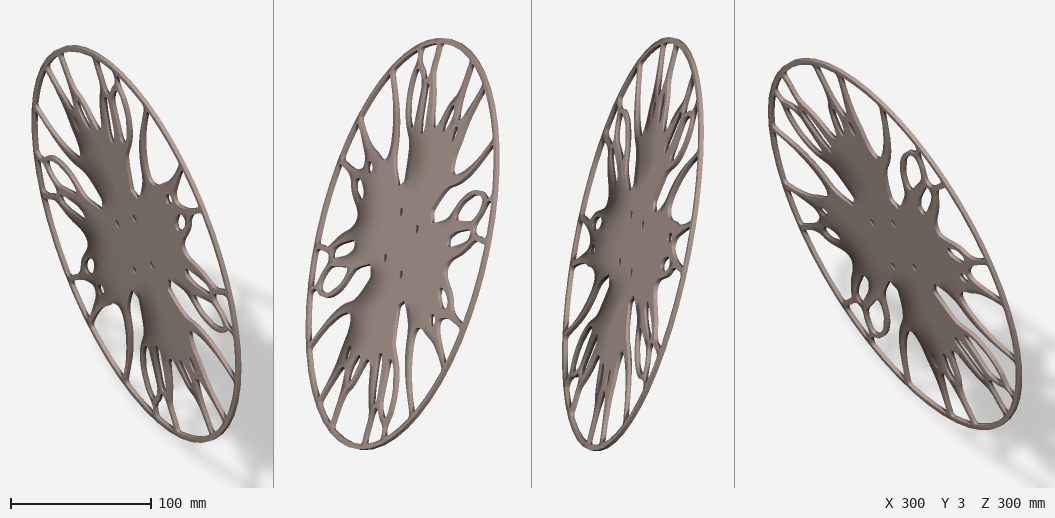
import math

import cadquery as cq


wheel_diameter = 300.0
thickness = 3.0
rim_width = 4.0
hub_diameter = 95.0
quarters = 4

bolt_hole_diameter = 6.2
bolt_circle_radius = 25.0

corner_radius = 3.0

rim_inner_radius = wheel_diameter / 2 - rim_width
hub_radius = hub_diameter / 2
quarter_angle = 360.0 / quarters

rim_openings = [
    (
        83.1,
        [(12.1, 115.1), (12.0, 111.2), (13.4, 94.2), (22.3, 79.1),
         (33.2, 84.1), (40.5, 92.6), (45.4, 97.5), (55.2, 110.8), (60.8, 121.4)],
        63.7,
    ),
    (
        62.0,
        [(66.9, 125.7), (57.7, 100.9), (56.5, 93.0), (58.8, 88.9),
         (64.1, 89.3), (82.5, 101.1), (91.9, 109.8)],
        50.0,
    ),
    (
        48.5,
        [(88.9, 101.9), (80.5, 91.7), (78.2, 84.9), (78.1, 82.1), (69.6, 60.7),
         (68.2, 55.4), (68.5, 53.0), (70.8, 50.2), (73.8, 49.0), (88.9, 50.2), (105.6, 50.6),
         (116.6, 51.2), (118.7, 52.4)],
        24.6,
    ),
    (
        22.9,
        [(126.1, 53.2), (122.6, 50.4), (113.5, 41.8), (113.6, 39.8),
         (124.1, 34.1), (132.8, 29.4)],
        12.7,
    ),
]

axis_upper_rim_angle = 10.3
axis_upper_hub_angle = 6.7
axis_upper_side = [
    (133.9, 24.8), (127.1, 16.7), (125.5, 15.5), (119.3, 11.9),
    (100.3, 7.7), (88.1, 9.5), (74.4, 13.2), (66.0, 11.8), (56.0, 8.6),
]
axis_lower_hub_angle = -5.8
axis_lower_rim_angle = -5.3
axis_lower_side = [
    (62.7, -10.1), (75.4, -10.9), (82.7, -8.9), (94.5, -6.8), (128.5, -10.3), (141.4, -13.1),
]

islands = [
    [(47.3, 78.5), (51.7, 81.0), (53.7, 87.6), (52.1, 89.2), (48.7, 88.4), (45.8, 79.1)],
    [(61.1, 63.9), (64.0, 64.8), (69.5, 71.0), (72.9, 76.9), (72.1, 83.9), (69.4, 84.2),
     (59.2, 71.6), (58.7, 67.0)],
    [(75.8, 29.5), (80.2, 29.5), (101.9, 35.7), (109.5, 41.1), (106.8, 44.8),
     (102.7, 45.2), (83.6, 40.6), (72.7, 32.8)],
    [(108.0, 12.1), (119.8, 16.0), (128.5, 24.5), (112.4, 32.9), (105.5, 30.3),
     (89.3, 22.6), (84.9, 19.3), (84.8, 17.1), (89.4, 13.4), (98.0, 11.4)],
]


def polar_point(radius, angle):
    """Point (x, z) at a radius and an angle in degrees from +X towards +Z."""
    return (radius * math.cos(math.radians(angle)), radius * math.sin(math.radians(angle)))


def plate(sketch):
    """Extrude a closed outline to the wheel thickness, centred on Y = 0."""
    return sketch.extrude(thickness / 2, both=True)


def disc(diameter, center=(0, 0)):
    return plate(cq.Workplane("XZ").center(*center).circle(diameter / 2))


def arc_to(sketch, radius, start_angle, end_angle):
    """Continue the outline along an arc about the wheel axis."""
    middle = polar_point(radius, (start_angle + end_angle) / 2)
    return sketch.threePointArc(middle, polar_point(radius, end_angle))


def rim_opening(start_angle, points, end_angle):
    start = polar_point(rim_inner_radius, start_angle)
    end = polar_point(rim_inner_radius, end_angle)
    outline = cq.Workplane("XZ").spline([start] + points + [end])
    outline = arc_to(outline, rim_inner_radius, end_angle, start_angle).close()
    return plate(outline).edges("|Y").fillet(corner_radius)


def axis_opening():
    upper_rim = polar_point(rim_inner_radius, axis_upper_rim_angle)
    upper_hub = polar_point(hub_radius, axis_upper_hub_angle)
    lower_hub = polar_point(hub_radius, axis_lower_hub_angle)
    lower_rim = polar_point(rim_inner_radius, axis_lower_rim_angle)

    outline = cq.Workplane("XZ").spline([upper_rim] + axis_upper_side + [upper_hub])
    outline = arc_to(outline, hub_radius, axis_upper_hub_angle, axis_lower_hub_angle)
    outline = outline.spline(axis_lower_side + [lower_rim], includeCurrent=True)
    outline = arc_to(outline, rim_inner_radius, axis_lower_rim_angle, axis_upper_rim_angle).close()
    return plate(outline).edges("|Y").fillet(corner_radius)


def island(points):
    return plate(cq.Workplane("XZ").spline(points, periodic=True).close())


def quarter_cutters():
    """All cutting bodies of one quarter."""
    cutters = [rim_opening(*opening) for opening in rim_openings]
    cutters.append(axis_opening())
    cutters += [island(points) for points in islands]
    cutters.append(disc(bolt_hole_diameter, (bolt_circle_radius, 0)))
    return cutters


wheel = disc(wheel_diameter)
for cutter in quarter_cutters():
    for quarter in range(quarters):
        wheel = wheel.cut(cutter.rotate((0, 0, 0), (0, 1, 0), quarter * quarter_angle))

result = wheel